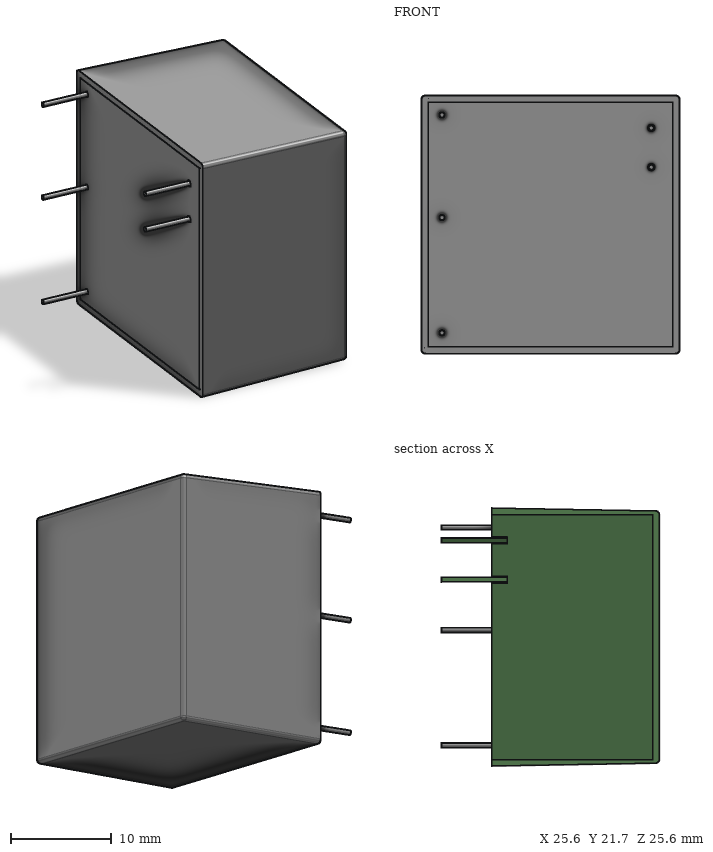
import cadquery as cq
import math

base_side = 25.6
housing_depth = 16.65
draft_angle = 1.0
edge_radius = 0.44
wall = 0.7

pin_diameter = 0.49
pin_length = 5.0
socket_depth = 1.54

left_pin_x = -10.75
left_pin_heights = [10.85, 0.7, -10.73]
left_socket_diameter = 0.56

right_pin_x = 9.98
right_pin_heights = [9.57, 5.68]
right_socket_diameter = 0.67

back_side = base_side - 2 * housing_depth * math.tan(math.radians(draft_angle))
cavity_side = base_side - 2 * wall
cavity_depth = housing_depth - wall
left_places = [(left_pin_x, z) for z in left_pin_heights]
right_places = [(right_pin_x, z) for z in right_pin_heights]


def square_block(side, depth):
    """Straight square block reaching from Y = 0 to Y = depth."""
    return cq.Workplane("XZ").rect(side, side).extrude(-depth)


def make_housing():
    """Drafted block with rounded side and back edges, hollowed from the open face."""
    outer = (
        cq.Workplane("XZ")
        .rect(base_side, base_side)
        .workplane(offset=-housing_depth)
        .rect(back_side, back_side)
        .loft(ruled=True)
    )
    rounded = outer.edges("not <Y").fillet(edge_radius)
    return rounded.cut(square_block(cavity_side, cavity_depth))


def make_sockets(places, diameter):
    """Round cutters for the blind sockets, reaching inward from the open face."""
    return cq.Workplane("XZ").pushPoints(places).circle(diameter / 2).extrude(-socket_depth)


def make_filler():
    """Potting block that fills the cavity flush with the open face, with a socket for each pin."""
    block = square_block(cavity_side, cavity_depth)
    block = block.cut(make_sockets(left_places, left_socket_diameter))
    return block.cut(make_sockets(right_places, right_socket_diameter))


def make_pin(x, z):
    """Round pin that stands on the bottom of its socket and points toward -Y."""
    socket_bottom = cq.Plane(origin=(x, socket_depth, z), xDir=(0, 0, 1), normal=(0, -1, 0))
    return cq.Workplane(socket_bottom).circle(pin_diameter / 2).extrude(socket_depth + pin_length)


housing = make_housing()
filler = make_filler()
pins = [make_pin(x, z) for x, z in left_places + right_places]

result = cq.Compound.makeCompound([housing.val(), filler.val(), *[pin.val() for pin in pins]])